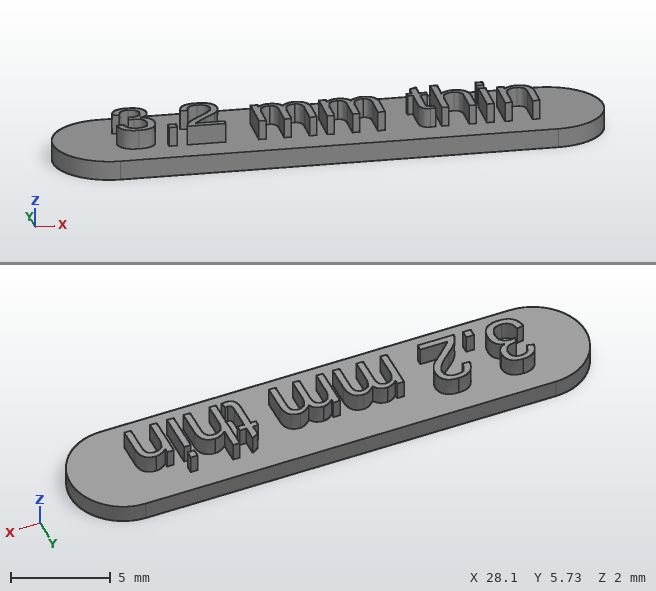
import cadquery as cq

TAG_LENGTH = 28.08
TAG_WIDTH = 5.73
TOTAL_HEIGHT = 2.0
TAG_THICKNESS = TOTAL_HEIGHT / 2

LETTER_HEIGHT = TOTAL_HEIGHT - TAG_THICKNESS
BASELINE_Y = -1.35
STROKE = 0.37
BAR_THICKNESS = 0.3
ASCENDER_HEIGHT = 3.0
SHORT_HEIGHT = 2.15
DOT_HEIGHT = 0.42

THREE_X = -10.9
PERIOD_X = -8.37
TWO_X = -7.45
M_XS = (-3.8, -0.3)
T_X = 4.15
H_X = 5.53
I_X = 7.83
N_X = 8.75

CROWN_Y = 2.22
OUTER_SPRING_Y = 1.35
INNER_SPRING_Y = 1.24
CROWN_FRACTION = 0.6
NOTCH_Y = 1.85
NOTCH_INSET = 0.08
WIDE_ARCH_SPAN = 1.05
M_ARCH_SPAN = 0.93


def glyph_plane(x):
    """Sketch plane on the tag's top face, with its origin on the baseline at x."""
    return cq.Workplane("XY", origin=(x, BASELINE_Y, TAG_THICKNESS))


def turn(sketch, corner, end):
    """Continue a sketch with a rounded turn that is pulled towards a corner."""
    return sketch.bezier([corner, end], includeCurrent=True)


def block(x, width, bottom, top):
    """Rectangular raised stroke."""
    outline = glyph_plane(x).moveTo(0, bottom).lineTo(width, bottom).lineTo(width, top).lineTo(0, top)
    return outline.close().extrude(LETTER_HEIGHT)


def arch(x, span):
    """Arch that springs from a stem ending at x and comes down in a leg of its own."""
    crown_x = CROWN_FRACTION * span
    inner_crown_y = CROWN_Y - BAR_THICKNESS
    leg_right = span + STROKE
    outline = glyph_plane(x).moveTo(-NOTCH_INSET, INNER_SPRING_Y).lineTo(0, INNER_SPRING_Y)
    outline = turn(outline, (0, inner_crown_y), (crown_x, inner_crown_y))
    outline = turn(outline, (span, inner_crown_y), (span, OUTER_SPRING_Y))
    outline = outline.lineTo(span, 0).lineTo(leg_right, 0).lineTo(leg_right, OUTER_SPRING_Y)
    outline = turn(outline, (leg_right, CROWN_Y), (crown_x, CROWN_Y))
    outline = turn(outline, (crown_x / 2, CROWN_Y), (-NOTCH_INSET, NOTCH_Y))
    return outline.close().extrude(LETTER_HEIGHT)


def arched_letter(x, stem_height, span, arch_count):
    """Stem followed by one or more equal arches: h, n or m."""
    letter = block(x, STROKE, 0, stem_height)
    for index in range(arch_count):
        letter = letter.union(arch(x + STROKE + index * (span + STROKE), span))
    return letter


def digit_three(x):
    """Two open bowls that meet at a waist on the right."""
    outline = glyph_plane(x).moveTo(0, 0.8).lineTo(0.37, 0.85)
    outline = turn(outline, (0.45, 0.25), (0.95, 0.25))
    outline = turn(outline, (1.57, 0.25), (1.57, 0.87))
    outline = turn(outline, (1.57, 1.45), (1.0, 1.45))
    outline = outline.lineTo(0.73, 1.43).lineTo(0.8, 1.75)
    outline = turn(outline, (1.45, 1.75), (1.45, 2.25))
    outline = turn(outline, (1.45, 2.72), (0.95, 2.72))
    outline = turn(outline, (0.48, 2.72), (0.42, 2.15)).lineTo(0.05, 2.25)
    outline = turn(outline, (0.17, 3.0), (0.95, 3.0))
    outline = turn(outline, (1.83, 3.0), (1.83, 2.25))
    outline = turn(outline, (1.83, 1.8), (1.4, 1.63))
    outline = turn(outline, (1.97, 1.52), (1.97, 0.87))
    outline = turn(outline, (1.97, -0.05), (0.95, -0.05))
    outline = turn(outline, (0.08, -0.05), (0, 0.8))
    return outline.close().extrude(LETTER_HEIGHT)


def digit_two(x):
    """Hook that runs down a diagonal into a flat foot."""
    outline = glyph_plane(x).lineTo(1.97, 0).lineTo(1.97, 0.35).lineTo(0.5, 0.35)
    outline = turn(outline, (0.65, 0.53), (1.07, 0.93)).lineTo(1.65, 1.45)
    outline = turn(outline, (1.97, 1.8), (1.97, 2.2))
    outline = turn(outline, (1.97, 3.0), (1.05, 3.0))
    outline = turn(outline, (0.15, 3.0), (0.05, 2.13)).lineTo(0.45, 2.1)
    outline = turn(outline, (0.45, 2.72), (1.0, 2.72))
    outline = turn(outline, (1.6, 2.72), (1.6, 2.2))
    outline = turn(outline, (1.6, 1.83), (0.75, 1.12))
    outline = turn(outline, (0, 0.48), (0, 0))
    return outline.close().extrude(LETTER_HEIGHT)


def letter_t(x):
    """Stem with a slanted top, a crossbar and a foot curving to the right."""
    stem_left = 0.28
    stem_right = stem_left + STROKE
    bar_right = 1.0
    bar_bottom = SHORT_HEIGHT - BAR_THICKNESS
    outline = glyph_plane(x).moveTo(0, bar_bottom).lineTo(0, SHORT_HEIGHT).lineTo(stem_left, SHORT_HEIGHT)
    outline = outline.lineTo(stem_left, 2.72).lineTo(stem_right, 2.95).lineTo(stem_right, SHORT_HEIGHT)
    outline = outline.lineTo(bar_right, SHORT_HEIGHT).lineTo(bar_right, bar_bottom)
    outline = outline.lineTo(stem_right, bar_bottom).lineTo(stem_right, 0.62)
    outline = turn(outline, (stem_right, 0.3), (0.87, 0.3)).lineTo(bar_right, 0.35)
    outline = outline.lineTo(1.07, 0).lineTo(0.8, -0.03)
    outline = turn(outline, (stem_left, -0.03), (stem_left, 0.65)).lineTo(stem_left, bar_bottom)
    return outline.close().extrude(LETTER_HEIGHT)


def tag_body():
    """Tag plate in one piece with the plain rectangular marks: the period and both parts of the i."""
    body = cq.Workplane("XY").slot2D(TAG_LENGTH, TAG_WIDTH).extrude(TAG_THICKNESS)
    body = body.union(block(PERIOD_X, DOT_HEIGHT, 0, DOT_HEIGHT))
    body = body.union(block(I_X, STROKE, 0, SHORT_HEIGHT))
    return body.union(block(I_X, STROKE, ASCENDER_HEIGHT - DOT_HEIGHT, ASCENDER_HEIGHT))


tag = tag_body()
three = digit_three(THREE_X)
two = digit_two(TWO_X)
letters_m = [arched_letter(x, SHORT_HEIGHT, M_ARCH_SPAN, 2) for x in M_XS]
t = letter_t(T_X)
h = arched_letter(H_X, ASCENDER_HEIGHT, WIDE_ARCH_SPAN, 1)
n = arched_letter(N_X, SHORT_HEIGHT, WIDE_ARCH_SPAN, 1)

result = cq.Compound.makeCompound(
    [tag.val(), three.val(), two.val(), *[m.val() for m in letters_m], t.val(), h.val(), n.val()]
)